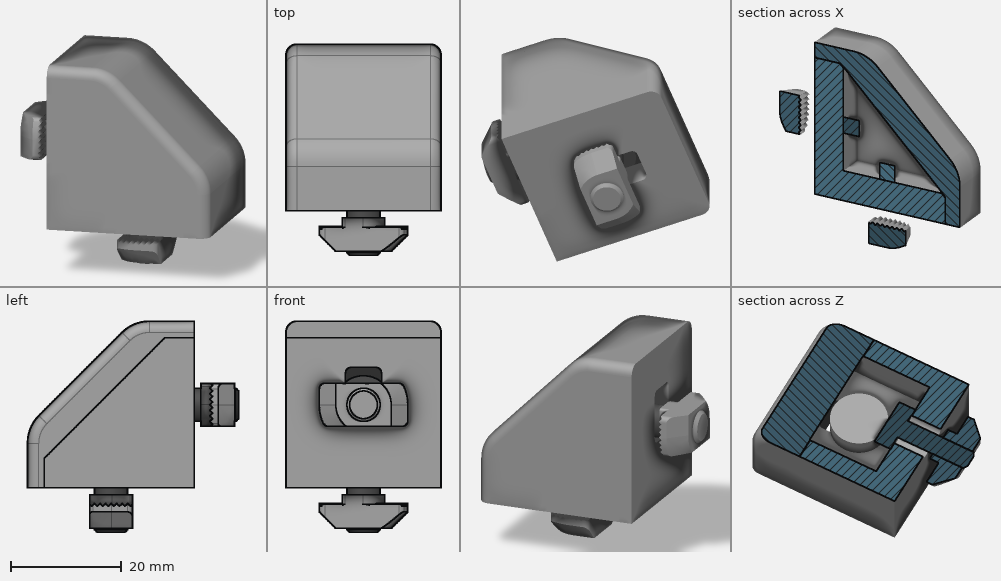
import cadquery as cq
import math

width = 28.0
cover_size = 30.1
cover_wall = 3.0
cover_vertex = 11.0
cover_bend_radius = 7.0
cover_edge_radius = 2.0

bracket_size = cover_size - cover_wall
bracket_vertex = 5.3
bracket_wall = 6.0
bracket_side_wall = 4.0

bolt_position = 15.0
bolt_diameter = 6.0
bolt_length = 14.0
bolt_tip_chamfer = 0.5
head_diameter = 10.5
head_height = 3.3

slot_width = 6.5
slot_length = 10.0
slot_corner_radius = 1.0
slot_start = bolt_position - slot_width / 2

nut_length = 16.0
nut_width = 7.75
nut_gap = 1.2
nut_end = 7.3
nut_slope = 3.0
nut_corner_radius = 1.0
neck_turn_radius = 4.0
neck_corner_radius = 0.5
tooth_tip = 2.8
tooth_pitch = 1.0
tooth_depth = tooth_pitch / 2


def sloped_outline(size, vertex):
    """Square corner in the YZ plane with its far corner cut at 45 degrees."""
    points = [(0, 0), (size, 0), (size, vertex), (vertex, size), (0, size)]
    return cq.Workplane("YZ").polyline(points).close()


def make_bracket():
    """Right-angle bracket with side walls, open towards the slope, one slot per leg."""
    body = sloped_outline(bracket_size, bracket_vertex).extrude(width / 2, both=True)
    cavity = (
        cq.Workplane("XY")
        .box(width - 2 * bracket_side_wall, cover_size, cover_size, centered=(True, False, False))
        .translate((0, bracket_wall, bracket_wall))
    )
    slot_middle = slot_start + slot_length / 2
    rear_slot = (
        cq.Workplane("XY")
        .box(slot_width, bracket_wall, slot_length)
        .edges("|Y")
        .fillet(slot_corner_radius)
        .translate((0, bracket_wall / 2, slot_middle))
    )
    base_slot = (
        cq.Workplane("XY")
        .box(slot_width, slot_length, bracket_wall)
        .edges("|Z")
        .fillet(slot_corner_radius)
        .translate((0, slot_middle, bracket_wall / 2))
    )
    return body.cut(cavity).cut(rear_slot).cut(base_slot)


def make_cover():
    """Cap over the bracket slope with bent corners and rounded long edges."""
    outer = sloped_outline(cover_size, cover_vertex).extrude(width / 2, both=True)
    bends = cq.selectors.BoxSelector(
        (-width, cover_wall, cover_wall), (width, 2 * cover_size, 2 * cover_size)
    )
    outer = outer.edges("|X").edges(bends).fillet(cover_bend_radius)
    outer = outer.faces("<X or >X").edges("not(<Y or <Z)").fillet(cover_edge_radius)
    inner = sloped_outline(bracket_size, bracket_vertex).extrude(width / 2, both=True)
    return outer.cut(inner)


def make_bolt():
    """Round-head bolt seated on the inner side of the leg."""
    head_radius = head_diameter / 2
    shank_radius = bolt_diameter / 2
    seat = bracket_wall
    tip = seat - bolt_length
    profile = (
        cq.Workplane("XY")
        .moveTo(0, tip)
        .lineTo(shank_radius - bolt_tip_chamfer, tip)
        .lineTo(shank_radius, tip + bolt_tip_chamfer)
        .lineTo(shank_radius, seat)
        .lineTo(head_radius, seat)
        .lineTo(head_radius, seat + head_height)
        .lineTo(0, seat + head_height)
        .close()
    )
    return profile.revolve(360, (0, 0, 0), (0, 1, 0)).translate((0, 0, bolt_position))


def xz_plane(distance):
    """Workplane facing -Y at a distance outside the mounting face."""
    return cq.Workplane("XZ", origin=(0, -distance, 0))


def nut_outline():
    """Flange outline: straight sides, two opposite corners swept to a circle."""
    half_length = nut_length / 2
    half_width = nut_width / 2
    turn = math.asin(half_width / half_length)
    arc_x = half_length * math.cos(turn)
    mid_x = half_length * math.cos(turn / 2)
    mid_z = half_length * math.sin(turn / 2)
    return (
        xz_plane(tooth_tip)
        .moveTo(-half_length, half_width)
        .lineTo(arc_x, half_width)
        .threePointArc((mid_x, mid_z), (half_length, 0))
        .lineTo(half_length, -half_width)
        .lineTo(-arc_x, -half_width)
        .threePointArc((-mid_x, -mid_z), (-half_length, 0))
        .close()
    )


def make_nut_flange():
    """Bevelled flange with rounded corners and a toothed clamping face."""
    blank = nut_outline().extrude(nut_end - tooth_tip)
    end_edges = blank.faces("<Y").edges("not(>Z or <Z)")
    bevelled = blank.newObject(end_edges.vals()).chamfer(nut_slope)
    rounded = nut_outline().extrude(nut_end - tooth_tip).edges("|Y").edges(">Z or <Z")
    rounded = rounded.fillet(nut_corner_radius)
    flange = bevelled.intersect(rounded)

    groove_count = 2 * math.ceil(nut_width / 2 / tooth_pitch)
    for index in range(groove_count):
        centre = (index - (groove_count - 1) / 2) * tooth_pitch
        groove = (
            cq.Workplane("YZ")
            .moveTo(-tooth_tip, centre - tooth_pitch / 2)
            .lineTo(-tooth_tip - tooth_depth, centre)
            .lineTo(-tooth_tip, centre + tooth_pitch / 2)
            .close()
            .extrude(nut_length, both=True)
        )
        flange = flange.cut(groove)
    return flange


def opposite_corners(z_sign):
    """Selector for the two corners lying furthest out along one XZ diagonal."""
    diagonal = cq.Vector(1, 0, z_sign)
    return cq.selectors.SumSelector(
        cq.selectors.DirectionMinMaxSelector(diagonal, True),
        cq.selectors.DirectionMinMaxSelector(diagonal, False),
    )


def make_nut_neck():
    """Square neck with two opposite corners rounded so that it can turn in a groove."""
    neck = xz_plane(nut_gap).rect(nut_width, nut_width).extrude(nut_end - nut_slope - nut_gap)
    neck = neck.edges("|Y").edges(opposite_corners(-1)).fillet(neck_corner_radius)
    return neck.edges("|Y").edges(opposite_corners(1)).fillet(neck_turn_radius)


def make_nut():
    """Hammer-head slot nut with its bolt hole."""
    hole = xz_plane(0).circle(bolt_diameter / 2).extrude(bolt_length)
    nut = make_nut_flange().union(make_nut_neck()).cut(hole)
    return nut.translate((0, 0, bolt_position))


bracket = make_bracket()
cover = make_cover()

turn_axis_start = (0, bolt_position, bolt_position)
turn_axis_end = (1, bolt_position, bolt_position)
bolts = []
nuts = []
for angle in (0, 90):
    bolts.append(make_bolt().rotate(turn_axis_start, turn_axis_end, angle).val())
    nuts.append(make_nut().rotate(turn_axis_start, turn_axis_end, angle).val())

result = cq.Compound.makeCompound([bracket.val(), cover.val(), *bolts, *nuts])